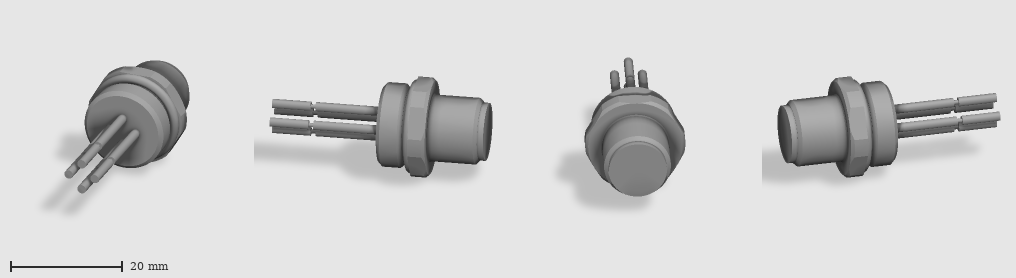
import cadquery as cq
import math

FLANGE_REAR = 0.0
FLANGE_FRONT = 4.6
NUT_REAR = 6.05
NUT_FRONT = 9.15
LIP_REAR = 18.1
LIP_FRONT = 19.2
TOTAL_LENGTH = 39.1
WIRE_END = LIP_FRONT - TOTAL_LENGTH

FLANGE_DIAMETER = 15.2
FLANGE_CHAMFER = 0.7
NECK_DIAMETER = 13.5

RING_DIAMETER = 16.95
RING_CENTRE_Y = 5.95

NUT_ACROSS_FLATS = 17.0
NUT_CORNER_DIAMETER = 18.0
NUT_CHAMFER_LENGTH = 0.6
NUT_FACE_DIAMETER = 16.95

BARREL_DIAMETER = 12.0
BARREL_CHAMFER = 0.65
BARREL_FLARE = 0.2
LIP_DIAMETER = 10.45

WIRE_COUNT = 4
WIRE_PITCH_RADIUS = 2.5
WIRE_DIAMETER = 1.65
CORE_DIAMETER = 0.75
GAP_FRONT = -12.0
GAP_LENGTH = 0.9
WIRE_EMBED = 0.4


def revolve_about_y(profile):
    """Revolve a closed (radius, y) profile a full turn about the Y axis."""
    return cq.Workplane("XY").polyline(profile).close().revolve(360, (0, 0, 0), (0, 1, 0))


def rod(diameter, y_start, y_end, x=0.0, z=0.0):
    """Cylinder along +Y between two stations."""
    return cq.Workplane(cq.Solid.makeCylinder(
        diameter / 2, y_end - y_start, cq.Vector(x, y_start, z), cq.Vector(0, 1, 0)))


def make_body():
    """Turned core: base flange, neck, barrel and lip."""
    flange_r = FLANGE_DIAMETER / 2
    flange_face_r = flange_r - FLANGE_CHAMFER
    neck_r = NECK_DIAMETER / 2
    barrel_r = BARREL_DIAMETER / 2
    lip_r = LIP_DIAMETER / 2
    return revolve_about_y([
        (0, FLANGE_REAR),
        (flange_face_r, FLANGE_REAR),
        (flange_r, FLANGE_REAR + FLANGE_CHAMFER),
        (flange_r, FLANGE_FRONT - FLANGE_CHAMFER),
        (flange_face_r, FLANGE_FRONT),
        (neck_r, FLANGE_FRONT),
        (neck_r, NUT_FRONT),
        (barrel_r + BARREL_FLARE, NUT_FRONT),
        (barrel_r, NUT_FRONT + BARREL_FLARE),
        (barrel_r, LIP_REAR - BARREL_CHAMFER),
        (barrel_r - BARREL_CHAMFER, LIP_REAR),
        (lip_r, LIP_REAR),
        (lip_r, LIP_FRONT),
        (0, LIP_FRONT),
    ])


def make_nut():
    """Hexagon with flats facing +Z and -Z, trimmed by a turned blank."""
    across_corners = NUT_ACROSS_FLATS / math.cos(math.pi / 6)
    hexagon = (
        cq.Workplane("XZ", origin=(0, NUT_REAR, 0))
        .polygon(6, across_corners)
        .extrude(NUT_REAR - NUT_FRONT)
    )
    corner_r = NUT_CORNER_DIAMETER / 2
    blank = revolve_about_y([
        (0, NUT_REAR),
        (corner_r, NUT_REAR),
        (corner_r, NUT_FRONT - NUT_CHAMFER_LENGTH),
        (NUT_FACE_DIAMETER / 2, NUT_FRONT),
        (0, NUT_FRONT),
    ])
    return hexagon.intersect(blank)


def make_sealing_ring():
    """Round-section ring whose inside touches the neck."""
    section_r = (RING_DIAMETER - NECK_DIAMETER) / 4
    centre_r = RING_DIAMETER / 2 - section_r
    return (
        cq.Workplane("XY")
        .center(centre_r, RING_CENTRE_Y)
        .circle(section_r)
        .revolve(360, (-centre_r, 0, 0), (-centre_r, 1, 0))
    )


def make_wire(x, z):
    """One wire with its core bared over the gap, rooted inside the flange."""
    gap_rear = GAP_FRONT - GAP_LENGTH
    front_insulation = rod(WIRE_DIAMETER, GAP_FRONT, FLANGE_REAR + WIRE_EMBED, x, z)
    rear_insulation = rod(WIRE_DIAMETER, WIRE_END, gap_rear, x, z)
    core = rod(CORE_DIAMETER, WIRE_END, FLANGE_REAR + WIRE_EMBED, x, z)
    return front_insulation.union(core).union(rear_insulation)


result = make_body().union(make_nut()).union(make_sealing_ring())
for index in range(WIRE_COUNT):
    angle = 2 * math.pi * index / WIRE_COUNT
    wire_x = WIRE_PITCH_RADIUS * math.cos(angle)
    wire_z = WIRE_PITCH_RADIUS * math.sin(angle)
    result = result.union(make_wire(wire_x, wire_z))